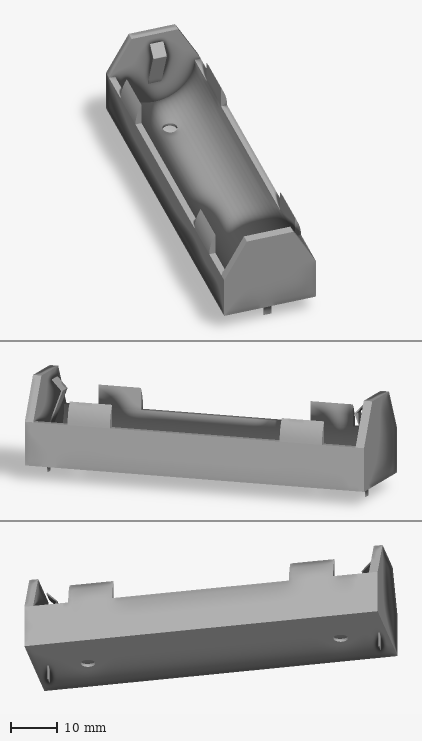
import cadquery as cq
import math

length = 77.7
width = 20.9
wall_height = 9.6
side_wall = 1.4
end_wall = 1.95
outer_radius = width / 2
trough_radius = outer_radius - side_wall

plate_height = 18.9
plate_top_width = 10.6

clip_length = 9.7
clip_starts = (9.6, 58.2)
clip_height = 4.9
clip_arc_radius = (side_wall**2 + clip_height**2) / (2 * side_wall)

hole_diameter = 3.2
hole_positions = (11.8, 67.4)

strip_width = 3.0
strip_thickness = 0.3
strip_root_height = 6.2
strip_knee_inset = 5.3
strip_knee_height = 15.0
strip_tip_inset = 3.1
strip_tip_height = 17.25
strip_embed = 0.4

pin_width = 1.7
pin_thickness = 0.15
pin_length = 3.35
pin_positions = (3.2, 76.0)


def make_tray():
    block = cq.Workplane("XY").box(length, width, wall_height, centered=(False, True, False))
    trough = (
        cq.Workplane("YZ", origin=(end_wall, 0, wall_height))
        .circle(trough_radius)
        .extrude(length - 2 * end_wall)
    )
    return block.cut(trough)


def make_end_plate(start):
    half_width = width / 2
    half_top = plate_top_width / 2
    return (
        cq.Workplane("YZ", origin=(start, 0, 0))
        .polyline([
            (-half_width, 0),
            (half_width, 0),
            (half_width, wall_height),
            (half_top, plate_height),
            (-half_top, plate_height),
            (-half_width, wall_height),
        ])
        .close()
        .extrude(end_wall)
    )


def make_clip_pair(start):
    """Vertical inner face and an outer arc tangent to the side wall."""
    arc_center = outer_radius - clip_arc_radius
    mid_angle = math.asin(clip_height / clip_arc_radius) / 2
    arc_middle = (
        arc_center + clip_arc_radius * math.cos(mid_angle),
        clip_arc_radius * math.sin(mid_angle),
    )
    clip = (
        cq.Workplane("YZ", origin=(start, 0, wall_height))
        .moveTo(trough_radius, 0)
        .lineTo(outer_radius, 0)
        .threePointArc(arc_middle, (trough_radius, clip_height))
        .close()
        .extrude(clip_length)
    )
    return clip.union(clip.mirror("XZ"))


def make_contact():
    """Strip rising from the left end plate to a knee, then bent back to a free tip."""
    leg_slope = (strip_knee_height - strip_root_height) / (strip_knee_inset - end_wall)
    buried_inset = end_wall - strip_embed
    buried_height = strip_root_height - strip_embed * leg_slope
    return (
        cq.Workplane("XZ")
        .moveTo(buried_inset, buried_height)
        .lineTo(strip_knee_inset, strip_knee_height)
        .lineTo(strip_tip_inset, strip_tip_height)
        .offset2D(strip_thickness / 2)
        .extrude(strip_width / 2, both=True)
    )


def make_pin(position):
    floor_thickness = wall_height - trough_radius
    embed = floor_thickness / 2
    return (
        cq.Workplane("XY", origin=(position, 0, -pin_length))
        .box(pin_thickness, pin_width, pin_length + embed, centered=(True, True, False))
    )


result = make_tray()
for plate_start in (0, length - end_wall):
    result = result.union(make_end_plate(plate_start))
for clip_start in clip_starts:
    result = result.union(make_clip_pair(clip_start))

contact = make_contact()
opposite_contact = contact.mirror("YZ", (length / 2, 0, 0))
result = result.union(contact).union(opposite_contact)

for pin_position in pin_positions:
    result = result.union(make_pin(pin_position))

hole_tool = (
    cq.Workplane("XY")
    .pushPoints([(position, 0) for position in hole_positions])
    .circle(hole_diameter / 2)
    .extrude(wall_height)
)
result = result.cut(hole_tool)